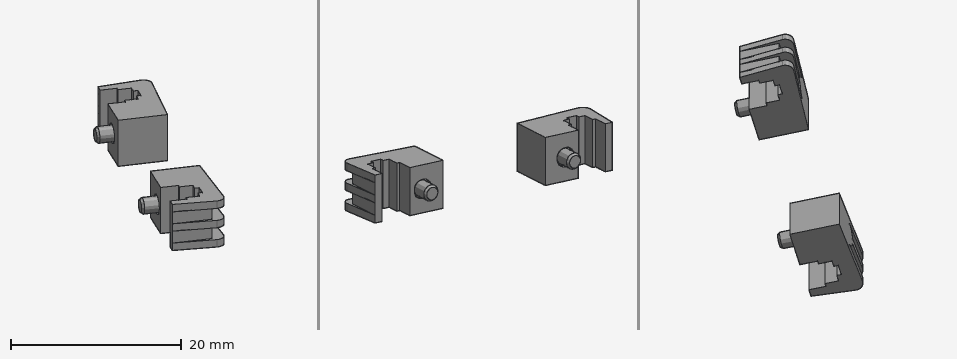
import cadquery as cq
import math

overall_length = 34.2
outer_x = -overall_length / 2
clip_height = 6.0

clip_length = 9.92
clip_depth = 6.5
inner_side_depth = 6.0
corner_radius = 1.03
leg_tip_inset = 0.45
leg_tip_y = 0.1

channel_x = outer_x + 3.35
mouth_half_width = 1.9
mouth_end_y = 2.15
middle_half_width = 1.5
middle_end_y = 3.8
inner_half_width = 0.7
inner_end_y = 4.35

middle_rib_height = 0.95
slot_height = 1.55
slot_floor_y = 4.9

boss_radius = 4.6 / 2
flare_radius = 3.42
flare_height = 1.13

pin_x = outer_x + 7.08
pin_radius = 2.0 / 2
pin_tip_radius = 1.55 / 2
pin_projection = 2.02
pin_seat_depth = 2.05
root_radius = 2.4 / 2
root_setback = 0.3
tip_length = 0.3
root_taper = root_radius - pin_radius


def corner_tangent_point(point, center, turn):
    """Point where a line from `point` touches the corner circle; turn is +1 or -1."""
    dx = point[0] - center[0]
    dy = point[1] - center[1]
    angle = math.atan2(dy, dx) + turn * math.acos(corner_radius / math.hypot(dx, dy))
    return (
        center[0] + corner_radius * math.cos(angle),
        center[1] + corner_radius * math.sin(angle),
    )


def make_clip_blank():
    """Clip outline with tapered leg, sloped back and rounded corner, at full height."""
    inner_x = outer_x + clip_length
    leg_tip = (outer_x + leg_tip_inset, leg_tip_y)
    inner_back = (inner_x, inner_side_depth)
    center = (outer_x + corner_radius, clip_depth - corner_radius)
    diagonal = corner_radius * math.sqrt(0.5)
    return (
        cq.Workplane("XY")
        .workplane(offset=-clip_height / 2)
        .moveTo(*leg_tip)
        .lineTo(*corner_tangent_point(leg_tip, center, -1))
        .threePointArc(
            (center[0] - diagonal, center[1] + diagonal),
            corner_tangent_point(inner_back, center, 1),
        )
        .lineTo(*inner_back)
        .lineTo(inner_x, 0)
        .lineTo(channel_x + mouth_half_width, 0)
        .lineTo(channel_x + mouth_half_width, mouth_end_y)
        .lineTo(channel_x + middle_half_width, mouth_end_y)
        .lineTo(channel_x + middle_half_width, middle_end_y)
        .lineTo(channel_x + inner_half_width, middle_end_y)
        .lineTo(channel_x + inner_half_width, inner_end_y)
        .lineTo(channel_x - inner_half_width, inner_end_y)
        .lineTo(channel_x - inner_half_width, middle_end_y)
        .lineTo(channel_x - middle_half_width, middle_end_y)
        .lineTo(channel_x - middle_half_width, mouth_end_y)
        .lineTo(channel_x - mouth_half_width, mouth_end_y)
        .lineTo(channel_x - mouth_half_width, leg_tip_y)
        .close()
        .extrude(clip_height)
    )


def make_boss():
    """Boss on the pin axis, standing on the slot floor with an arc flare at its foot."""
    flare_angle = math.acos(1 - flare_height / flare_radius)
    foot_radius = boss_radius + flare_radius * math.sin(flare_angle)
    half_angle = flare_angle / 2
    flare_middle = (
        foot_radius - flare_radius * math.sin(half_angle),
        slot_floor_y + flare_radius * (1 - math.cos(half_angle)),
    )
    return (
        cq.Workplane("XY")
        .moveTo(0, slot_floor_y)
        .lineTo(foot_radius, slot_floor_y)
        .threePointArc(flare_middle, (boss_radius, slot_floor_y + flare_height))
        .lineTo(boss_radius, clip_depth)
        .lineTo(0, clip_depth)
        .close()
        .revolve(360, (0, 0), (0, 1))
        .translate((pin_x, 0, 0))
    )


def make_slot_cutter():
    """Two slots that run up the outside of the leg and along the back to the boss."""
    slots = cq.Workplane("XY")
    for side in (-1, 1):
        slot_z = side * (middle_rib_height + slot_height) / 2
        slot = (
            cq.Workplane("XY")
            .workplane(offset=slot_z - slot_height / 2)
            .moveTo(outer_x, leg_tip_y)
            .lineTo(outer_x + leg_tip_inset, leg_tip_y)
            .lineTo(outer_x + leg_tip_inset, slot_floor_y)
            .lineTo(pin_x, slot_floor_y)
            .lineTo(pin_x, clip_depth)
            .lineTo(outer_x, clip_depth)
            .close()
            .extrude(slot_height)
        )
        slots = slots.add(slot)
    return slots.combine().cut(make_boss())


def make_pin_seat():
    """Blind hole that holds the wide root of the pin."""
    return (
        cq.Workplane("XZ", origin=(pin_x, pin_seat_depth, 0))
        .circle(root_radius)
        .extrude(pin_seat_depth)
    )


def make_clip():
    return make_clip_blank().cut(make_slot_cutter()).cut(make_pin_seat())


def make_pin():
    """Pin along Y: wide root in the seat, tapering below the block face to a chamfered shank."""
    return (
        cq.Workplane("XY")
        .moveTo(0, pin_seat_depth)
        .lineTo(root_radius, pin_seat_depth)
        .lineTo(root_radius, root_setback + root_taper)
        .lineTo(pin_radius, root_setback)
        .lineTo(pin_radius, tip_length - pin_projection)
        .lineTo(pin_tip_radius, -pin_projection)
        .lineTo(0, -pin_projection)
        .close()
        .revolve(360, (0, 0), (0, 1))
        .translate((pin_x, 0, 0))
    )


bodies = []
for body in (make_clip(), make_pin()):
    bodies.append(body.val())
    bodies.append(body.mirror("YZ").val())

result = cq.Compound.makeCompound(bodies)